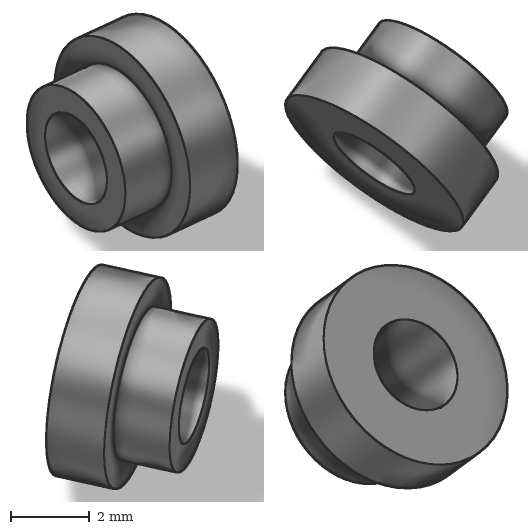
import cadquery as cq

flange_diameter = 5.5
sleeve_diameter = 4.0
bore_diameter = 2.5
total_length = 3.05
sleeve_length = 1.5
flange_length = total_length - sleeve_length


def cylinder_along_y(diameter, start_y, length):
    """Solid cylinder running from start_y towards +Y."""
    plane = cq.Workplane("XZ", origin=(0, start_y, 0))
    return plane.circle(diameter / 2).extrude(-length)


sleeve = cylinder_along_y(sleeve_diameter, 0, sleeve_length)
flange = cylinder_along_y(flange_diameter, sleeve_length, flange_length)

bore = cylinder_along_y(bore_diameter, 0, total_length)

result = sleeve.union(flange).cut(bore)